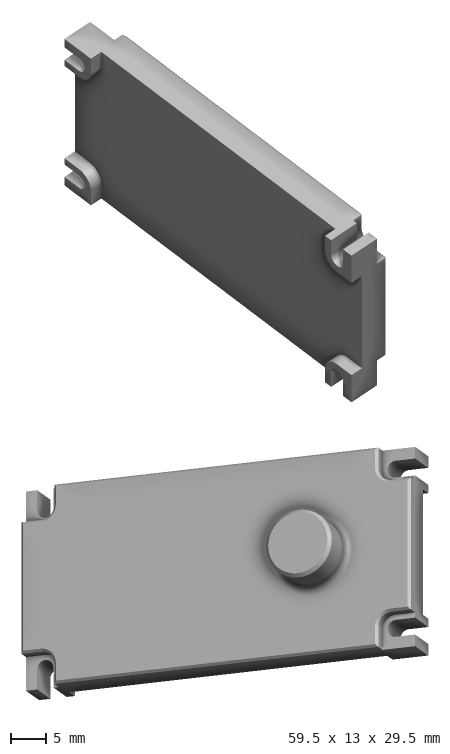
import cadquery as cq

length = 59.5
height = 29.5
total_depth = 13.0
foot_depth = 2.0
ledge_y = 5.0
plate_back_y = 6.95
rim_chamfer = 0.35

slot_inset = 3.0
slot_radius = 1.25
foot_radius = 2.5
recess_radius = 2.0

boss_x = -15.0
boss_radius = 5.0
boss_chamfer = 0.5
boss_base_fillet = 1.0

CORNER_SIGNS = [(side, end) for side in (-1, 1) for end in (-1, 1)]


def block(x_size, z_size, x, z, y_start, y_end):
    """Box centred on (x, z) and spanning y_start to y_end."""
    depth = y_end - y_start
    return cq.Workplane("XY").box(x_size, depth, z_size).translate((x, y_start + depth / 2, z))


def corner_block(side, end, inner_radius, y_start, y_end):
    """Square block flush with a plate corner, its inner corner rounded about the slot axis."""
    size = slot_inset + inner_radius
    x = side * (length - size) / 2
    z = end * (height - size) / 2
    inner_edge = ("<X" if side > 0 else ">X") + " and |Y and " + ("<Z" if end > 0 else ">Z")
    body = block(size, size, x, z, y_start, y_end)
    return body.edges(inner_edge).fillet(inner_radius)


def corner_slot(side, end):
    """Round-ended slot open to the -X side on the left and to the Z sides on the right."""
    x = side * (length / 2 - slot_inset)
    z = end * (height / 2 - slot_inset)
    width = 2 * slot_radius
    round_end = cq.Workplane("XZ", origin=(x, 0, z)).circle(slot_radius).extrude(-plate_back_y)
    if side < 0:
        mouth = block(slot_inset, width, x - slot_inset / 2, z, 0, plate_back_y)
    else:
        mouth = block(width, slot_inset, x, z + end * slot_inset / 2, 0, plate_back_y)
    return round_end.union(mouth)


def make_boss():
    """Round boss with a chamfered end, flared by a fillet where it meets the plate."""
    flare_radius = boss_radius + boss_base_fillet
    flare_y = plate_back_y + boss_base_fillet
    diagonal = 0.5 ** 0.5
    arc_radius = flare_radius - boss_base_fillet * diagonal
    arc_y = flare_y - boss_base_fillet * diagonal
    profile = (
        cq.Workplane("XY")
        .moveTo(0, ledge_y)
        .lineTo(flare_radius, ledge_y)
        .lineTo(flare_radius, plate_back_y)
        .threePointArc((arc_radius, arc_y), (boss_radius, flare_y))
        .lineTo(boss_radius, total_depth - boss_chamfer)
        .lineTo(boss_radius - boss_chamfer, total_depth)
        .lineTo(0, total_depth)
        .close()
    )
    return profile.revolve(360, (0, 0), (0, 1)).translate((boss_x, 0, 0))


plate = block(length, height, 0, 0, foot_depth, plate_back_y)
for side, end in CORNER_SIGNS:
    plate = plate.cut(corner_block(side, end, recess_radius, ledge_y, plate_back_y))
plate = plate.faces(">Y").chamfer(rim_chamfer)

for side, end in CORNER_SIGNS:
    plate = plate.union(corner_block(side, end, foot_radius, 0, ledge_y))
for side, end in CORNER_SIGNS:
    plate = plate.cut(corner_slot(side, end))

result = plate.union(make_boss())